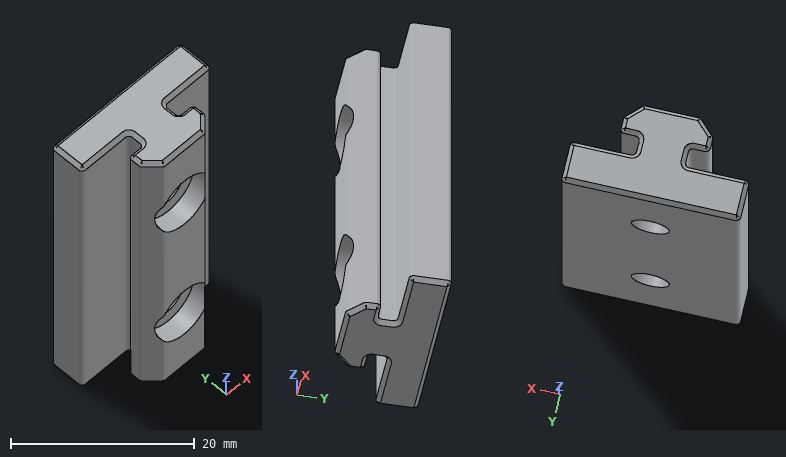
import cadquery as cq

length = 40.0
depth = 10.5
plate_width = 20.0
plate_thickness = 4.7
neck_width = 5.5
neck_height = 2.2
head_width = 10.0
head_bevel = 1.83
edge_radius = 0.5
end_chamfer = 0.5

hole_spacing = 20.0
hole_diameter = 4.2
counterbore_diameter = 7.8
counterbore_depth = 2.5

back_y = depth / 2
front_y = -depth / 2
plate_front_y = back_y - plate_thickness
head_back_y = plate_front_y - neck_height


def make_rail():
    """T-section with rounded long edges and chamfered end faces."""
    half_section = [
        (plate_width / 2, back_y),
        (plate_width / 2, plate_front_y),
        (neck_width / 2, plate_front_y),
        (neck_width / 2, head_back_y),
        (head_width / 2, head_back_y),
        (head_width / 2, front_y + head_bevel),
        (head_width / 2 - head_bevel, front_y),
    ]
    mirrored_half = [(-x, y) for x, y in reversed(half_section)]
    rail = (
        cq.Workplane("XY")
        .workplane(offset=-length / 2)
        .polyline(half_section + mirrored_half)
        .close()
        .extrude(length)
    )
    rail = rail.edges("|Z").fillet(edge_radius)
    return rail.faces("<Z or >Z").chamfer(end_chamfer)


def make_screw_holes():
    """Through holes along Y, counterbored from the front of the head."""
    hole_centres = [(0, -hole_spacing / 2), (0, hole_spacing / 2)]
    front_plane = cq.Workplane("XZ", origin=(0, front_y, 0)).pushPoints(hole_centres)
    through_holes = front_plane.circle(hole_diameter / 2).extrude(-depth)
    counterbores = front_plane.circle(counterbore_diameter / 2).extrude(-counterbore_depth)
    return through_holes.union(counterbores)


result = make_rail().cut(make_screw_holes())